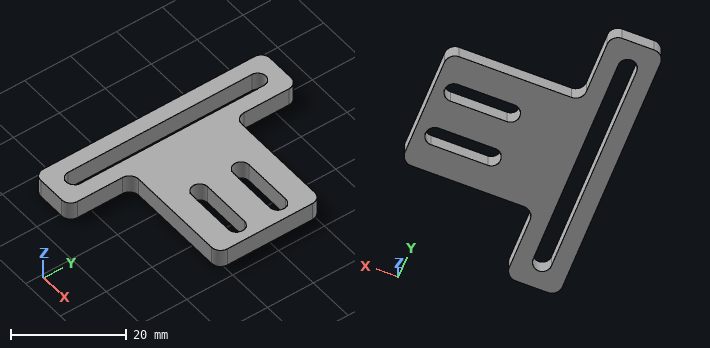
import cadquery as cq

length_x = 35.0
length_y = 50.0
thickness = 4.0
corner_radius = 2.0

bar_width = 10.0
tongue_width = 22.5

slot_width = 3.4
bar_slot_length = 43.4
tongue_slot_length = 14.0
tongue_slot_spacing = 9.0
tongue_slot_end_margin = 2.0


def make_plate():
    """T-shaped plate with every upright edge rounded, inner corners included."""
    bar = cq.Workplane("XY").box(bar_width, length_y, thickness, centered=(False, True, False))
    tongue = cq.Workplane("XY").box(length_x, tongue_width, thickness, centered=(False, True, False))
    return bar.union(tongue).clean().edges("|Z").fillet(corner_radius)


def slot_cutter(center_x, center_y, length, angle):
    """Round-ended slot running at the given angle from the X axis."""
    return (
        cq.Workplane("XY")
        .center(center_x, center_y)
        .slot2D(length, slot_width, angle)
        .extrude(thickness)
    )


result = make_plate()

result = result.cut(slot_cutter(bar_width / 2, 0, bar_slot_length, 90))

tongue_slot_x = length_x - tongue_slot_end_margin - tongue_slot_length / 2
for side in (-1, 1):
    tongue_slot_y = side * tongue_slot_spacing / 2
    result = result.cut(slot_cutter(tongue_slot_x, tongue_slot_y, tongue_slot_length, 0))